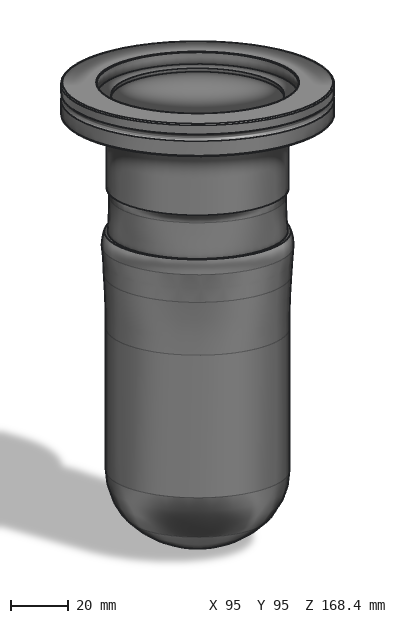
import cadquery as cq
import math


flange_diameter = 95.0
flange_thickness = 12.0
flange_chamfer = 0.5
groove_center_depth = 5.0
groove_radius = 1.25

recess_diameter = 70.0
recess_depth = 4.5
recess_chamfer = 0.3
bore_diameter = 60.2
bore_depth = 1.25

tube_diameter = 63.5
tube_end_depth = 38.3
waist_diameter = 61.6
waist_start_depth = 41.3
waist_foot_diameter = 62.6
waist_foot_depth = 54.3

lip_edge_diameter = 64.8
lip_diameter = 66.8
lip_depth = 59.4
taper_end_depth = 69.7
body_diameter = 64.0
body_start_depth = 89.2

total_length = 168.4
dome_height = 27.2
knuckle_radius = 23.7


def tangent_arc_radius(radial_step, height):
    """Radius of an arc that ends parallel to the axis after the given step and height."""
    return (radial_step**2 + height**2) / (2 * abs(radial_step))


def outer_profile():
    """Half section of the solid, from the axis at the flange face to the dome tip."""
    flange_radius = flange_diameter / 2
    tube_radius = tube_diameter / 2
    waist_radius = waist_diameter / 2
    foot_radius = waist_foot_diameter / 2
    lip_edge_radius = lip_edge_diameter / 2
    lip_radius = lip_diameter / 2
    body_radius = body_diameter / 2

    shoulder_arc = tangent_arc_radius(tube_radius - waist_radius, waist_start_depth - tube_end_depth)
    waist_arc = tangent_arc_radius(foot_radius - waist_radius, waist_foot_depth - waist_start_depth)
    lip_arc = tangent_arc_radius(lip_radius - lip_edge_radius, lip_depth - waist_foot_depth)

    taper_length = taper_end_depth - lip_depth
    blend_length = body_start_depth - taper_end_depth
    taper_slope = (lip_radius - body_radius) / (taper_length + blend_length / 2)
    taper_end_radius = lip_radius - taper_slope * taper_length
    blend_arc = tangent_arc_radius(taper_end_radius - body_radius, blend_length)

    knuckle_center_radius = body_radius - knuckle_radius
    height_excess = dome_height - knuckle_radius
    center_distance = (knuckle_center_radius**2 + height_excess**2) / (2 * height_excess)
    crown_radius = knuckle_radius + center_distance
    crown_angle = math.asin(knuckle_center_radius / center_distance)
    dome_start = dome_height - total_length
    crown_edge_radius = crown_radius * math.sin(crown_angle)
    crown_edge_z = dome_start - knuckle_radius * math.cos(crown_angle)

    return (
        cq.Workplane("XZ")
        .lineTo(flange_radius - flange_chamfer, 0)
        .lineTo(flange_radius, -flange_chamfer)
        .lineTo(flange_radius, groove_radius - groove_center_depth)
        .radiusArc((flange_radius, -groove_radius - groove_center_depth), -groove_radius)
        .lineTo(flange_radius, flange_chamfer - flange_thickness)
        .lineTo(flange_radius - flange_chamfer, -flange_thickness)
        .lineTo(tube_radius, -flange_thickness)
        .lineTo(tube_radius, -tube_end_depth)
        .radiusArc((waist_radius, -waist_start_depth), -shoulder_arc)
        .radiusArc((foot_radius, -waist_foot_depth), -waist_arc)
        .lineTo(lip_edge_radius, -waist_foot_depth)
        .radiusArc((lip_radius, -lip_depth), lip_arc)
        .lineTo(taper_end_radius, -taper_end_depth)
        .radiusArc((body_radius, -body_start_depth), -blend_arc)
        .lineTo(body_radius, dome_start)
        .radiusArc((crown_edge_radius, crown_edge_z), knuckle_radius)
        .radiusArc((0, -total_length), crown_radius)
        .close()
    )


def face_openings():
    """Stepped cavity in the flange face: chamfered recess with a shallow bore in its floor."""
    recess_radius = recess_diameter / 2
    bore_radius = bore_diameter / 2
    bore_floor = -(recess_depth + bore_depth)
    profile = (
        cq.Workplane("XZ")
        .lineTo(recess_radius + recess_chamfer, 0)
        .lineTo(recess_radius, -recess_chamfer)
        .lineTo(recess_radius, -recess_depth)
        .lineTo(bore_radius, -recess_depth)
        .lineTo(bore_radius, bore_floor)
        .lineTo(0, bore_floor)
        .close()
    )
    return revolved(profile)


def revolved(profile):
    """Full turn of a half section around the Z axis."""
    return profile.revolve(360, (0, 0, 0), (0, 1, 0))


result = revolved(outer_profile()).cut(face_openings())